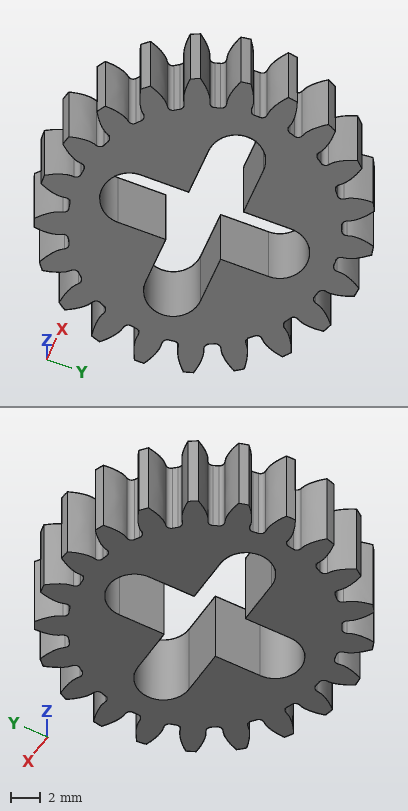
import cadquery as cq
import math

TEETH = 21
TIP_DIAMETER = 23.0
THICKNESS = 6.0
PRESSURE_ANGLE = math.radians(20)
DEDENDUM_FACTOR = 1.25
ROOT_FILLET = 0.37
SLOT_LENGTH = 15.0
SLOT_WIDTH = 4.0
FIRST_TOOTH_ANGLE = math.pi
FLANK_STEPS = 6
FLANK_SPACING_POWER = 1.5

MODULE = TIP_DIAMETER / (TEETH + 2)
TIP_RADIUS = TIP_DIAMETER / 2
PITCH_RADIUS = MODULE * TEETH / 2
BASE_RADIUS = PITCH_RADIUS * math.cos(PRESSURE_ANGLE)
ROOT_RADIUS = PITCH_RADIUS - DEDENDUM_FACTOR * MODULE
TOOTH_PITCH = 2 * math.pi / TEETH


def involute(pressure_angle):
    """Polar angle swept by the involute from the base circle."""
    return math.tan(pressure_angle) - pressure_angle


BASE_HALF_ANGLE = TOOTH_PITCH / 4 + involute(PRESSURE_ANGLE)


def polar(radius, angle):
    return (radius * math.cos(angle), radius * math.sin(angle))


def flank_points(tooth_angle, side):
    """Points of one flank from root to tip; side is -1 or +1 about the tooth centre."""
    points = [polar(ROOT_RADIUS, tooth_angle + side * BASE_HALF_ANGLE)]
    for step in range(FLANK_STEPS + 1):
        height_fraction = (step / FLANK_STEPS) ** FLANK_SPACING_POWER
        radius = BASE_RADIUS + (TIP_RADIUS - BASE_RADIUS) * height_fraction
        half_angle = BASE_HALF_ANGLE - involute(math.acos(BASE_RADIUS / radius))
        points.append(polar(radius, tooth_angle + side * half_angle))
    return points


def gear_outline():
    """Closed outline of involute flanks joined by tip and root arcs."""
    outline = cq.Workplane("XY").moveTo(*flank_points(FIRST_TOOTH_ANGLE, -1)[0])
    for tooth in range(TEETH):
        tooth_angle = FIRST_TOOTH_ANGLE + tooth * TOOTH_PITCH
        rising = flank_points(tooth_angle, -1)
        falling = flank_points(tooth_angle, 1)[::-1]
        next_root = flank_points(tooth_angle + TOOTH_PITCH, -1)[0]
        outline = (
            outline.spline(rising[1:], includeCurrent=True)
            .threePointArc(polar(TIP_RADIUS, tooth_angle), falling[0])
            .spline(falling[1:], includeCurrent=True)
            .threePointArc(polar(ROOT_RADIUS, tooth_angle + TOOTH_PITCH / 2), next_root)
        )
    return outline.close()


def is_root_corner(edge):
    center = edge.Center()
    return math.hypot(center.x, center.y) < BASE_RADIUS


def gear_blank():
    """Solid toothed disc with the corners at the tooth roots rounded."""
    blank = gear_outline().extrude(THICKNESS)
    return blank.edges("|Z").filter(is_root_corner).fillet(ROOT_FILLET)


def cross_cutter():
    """Two round-ended slots crossing on the gear axis."""
    along_x = cq.Workplane("XY").slot2D(SLOT_LENGTH, SLOT_WIDTH).extrude(THICKNESS)
    along_y = cq.Workplane("XY").slot2D(SLOT_LENGTH, SLOT_WIDTH, 90).extrude(THICKNESS)
    return along_x.union(along_y)


result = gear_blank().cut(cross_cutter())